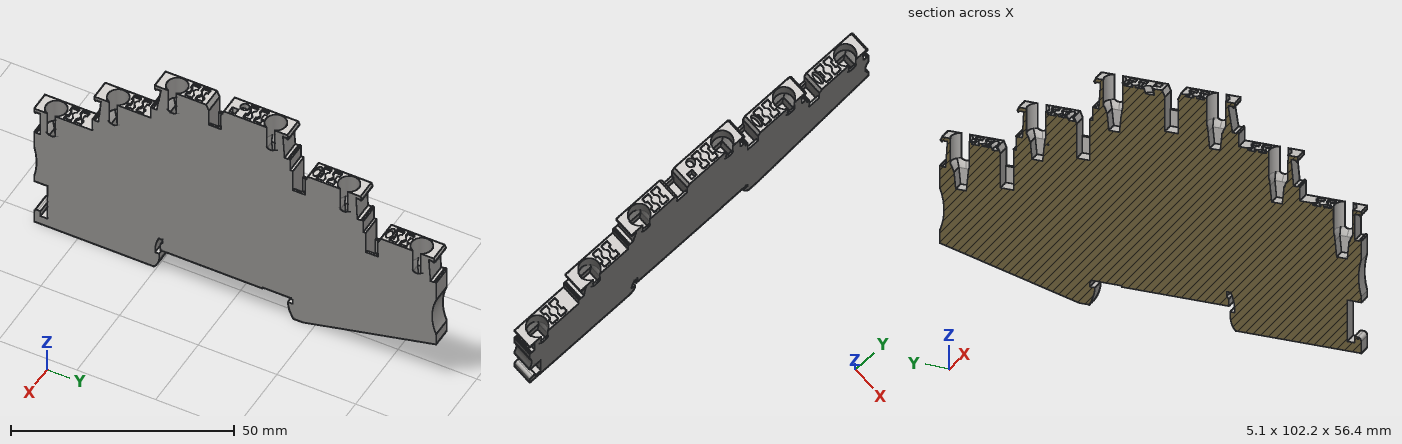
import cadquery as cq

length = 102.2
height = 56.4
thickness = 5.1
half_length = length / 2
half_thickness = thickness / 2

low_deck = 35.2
mid_deck = 45.9
top_deck = height

lip_height = 1.0
lip_lean = 0.4
bead = 0.3
groove_depth = 7.4

slot_width = 3.1
slot_depth = 5.9
slot_lead_width = 0.7
slot_lead_depth = 1.5
low_slot_start = 33.2
mid_slot_start = 14.7
top_slot_start = -6.6
slot_starts = [(low_slot_start, low_deck), (mid_slot_start, mid_deck), (top_slot_start, top_deck)]

bridge_pocket_width = 4.0
bridge_pocket_depth = 4.1

entries = [
    (46.2, low_deck),
    (27.7, mid_deck),
    (9.1, top_deck),
    (-15.9, top_deck),
    (-31.0, mid_deck),
    (-46.7, low_deck),
]
bore_x = 0.2
bore_radius = 2.6
bore_depth = 6.1
funnel_depth = 2.0
socket_width = 3.2
socket_length = 3.3
socket_floor_length = 2.5
socket_depth = 4.1
socket_shift = 0.3

actuator_offset = 5.1
actuator_width = 4.0
actuator_length = 4.4
actuator_depth = 0.5
actuator_bar = 0.8
actuator_boss_radius = 0.97
end_tab_width = 1.6
end_tab_length = 0.5

test_hole_gap = 1.8
test_hole_x_radius = 1.6
test_hole_y_radius = 0.77
test_hole_depth = 1.0
hole_lean = 0.5

lamp_hole_x = -0.9
lamp_hole_y = 0.6
lamp_hole_radius = 1.0
lamp_hole_depth = 1.5

key_hole_x = 1.2
key_hole_y = -1.0
key_hole_size = 1.5
key_hole_floor_size = 0.9
key_hole_depth = 2.0

notch_end = -47.7
notch_floor = 4.0
notch_top = 12.6
notch_nose_radius = 0.9
trough_length = 1.7
trough_depth = 1.5
trough_wall = 0.5

grip_depth_near = 0.6
grip_bottom_near = 14.2
grip_top_near = 23.2
grip_depth_far = 1.0
grip_bottom_far = 11.9
grip_top_far = 22.4

rail_top = 5.8
raised_rail_top = 6.1
raised_rail_start = 7.0
hook_z = 4.6
foot_tip = -19.3
foot_base = -20.6
slit_outer = -20.3
slit_inner = -19.0
slit_top = 9.3
hook_tip = 13.4
hook_root = 14.6
hook_corner = 0.4
hook_base = 14.8
slope_start = 17.3
slope_end_z = 8.7


def label_groove(side, deck, lip_tip, neck_top, neck_bottom, ledge):
    """Points from the deck edge down to the ledge; side is +1 facing +Y and -1 facing -Y.

    Only the lips facing +Y lean back towards the deck; the others are upright.
    """
    lean = lip_lean if side > 0 else 0
    lip_bottom = deck - lip_height
    ledge_top = deck - groove_depth
    return [
        (lip_tip - lean, deck),
        (lip_tip, lip_bottom + bead / 2),
        (lip_tip - side * bead, lip_bottom - bead),
        (lip_tip - side * 2 * bead, lip_bottom),
        (neck_top, lip_bottom),
        (neck_bottom, ledge_top),
        (ledge - side * 2 * bead, ledge_top),
        (ledge - side * bead, ledge_top + bead),
        (ledge, ledge_top),
    ]


def slot_edge(start, deck):
    """Points from the lead-in bevel on the +Y side of a slot, down and across its floor."""
    wall = start + slot_width
    return [
        (wall + slot_lead_width, deck),
        (wall, deck - slot_lead_depth),
        (wall, deck - slot_depth),
        (start, deck - slot_depth),
    ]


def stepped_edge():
    """Upper edge of the plate, from the ledge at +Y over the decks to the ledge at -Y."""
    points = label_groove(1, low_deck, 50.9, 49.3, 49.7, half_length)[::-1]
    points += slot_edge(low_slot_start, low_deck)
    points += [(low_slot_start, low_deck)]

    mid_ledge = 32.6
    points += [(mid_ledge, low_deck)]
    points += label_groove(1, mid_deck, 32.3, 30.8, 31.1, mid_ledge)[::-1]
    points += slot_edge(mid_slot_start, mid_deck)
    points += [(mid_slot_start, mid_deck)]

    top_ledge = 14.0
    points += [(top_ledge, mid_deck)]
    points += label_groove(1, top_deck, 13.7, 12.2, 12.6, top_ledge)[::-1]
    points += slot_edge(top_slot_start, top_deck)
    points += [
        (top_slot_start, top_deck - slot_lead_depth),
        (top_slot_start - slot_lead_width, top_deck),
    ]

    near_top_ledge = -21.5
    points += label_groove(-1, top_deck, -20.4, -18.9, -19.9, near_top_ledge)
    points += [(near_top_ledge, mid_deck)]
    near_mid_ledge = -36.3
    points += label_groove(-1, mid_deck, -35.8, -34.1, -34.7, near_mid_ledge)
    points += [(near_mid_ledge, low_deck)]
    points += label_groove(-1, low_deck, -half_length, -49.6, -49.6, -half_length)
    return points


def plate():
    """Side outline extruded through the thickness."""
    grip_mid_near = (grip_top_near + grip_bottom_near) / 2
    grip_mid_far = (grip_top_far + grip_bottom_far) / 2
    outline = (
        cq.Workplane("YZ", origin=(-half_thickness, 0, 0))
        .polyline(stepped_edge())
        .lineTo(-half_length, grip_top_near)
        .threePointArc((-half_length + grip_depth_near, grip_mid_near), (-half_length, grip_bottom_near))
        .lineTo(-half_length, notch_top)
        .lineTo(notch_end, notch_top)
        .lineTo(notch_end, notch_floor)
        .lineTo(-half_length + notch_nose_radius, notch_floor)
        .tangentArcPoint((-half_length, notch_floor - notch_nose_radius), relative=False)
        .lineTo(-half_length, 0)
        .lineTo(foot_base, 0)
        .threePointArc((-19.7, 1.3), (foot_tip, 3.0))
        .lineTo(foot_tip, hook_z)
        .lineTo(slit_outer, hook_z)
        .threePointArc((-20.2, 6.6), (-19.4, slit_top))
        .lineTo(-18.5, slit_top)
        .lineTo(-18.5, 8.3)
        .lineTo(slit_inner, 7.7)
        .lineTo(slit_inner, rail_top)
        .lineTo(raised_rail_start, rail_top)
        .lineTo(raised_rail_start, raised_rail_top)
        .lineTo(hook_root - hook_corner, raised_rail_top)
        .lineTo(hook_root, raised_rail_top - hook_corner)
        .lineTo(hook_root, hook_z)
        .lineTo(hook_tip, hook_z)
        .threePointArc((13.8, 2.2), (hook_base, 0))
        .lineTo(slope_start, 0)
        .lineTo(half_length, slope_end_z)
        .lineTo(half_length, grip_bottom_far)
        .threePointArc((half_length - grip_depth_far, grip_mid_far), (half_length, grip_top_far))
        .close()
    )
    return outline.extrude(thickness)


def deck_plane(x, y, z):
    return cq.Workplane("XY", origin=(x, y, z))


def box_down(x, y, z, width, depth_y, depth):
    """Box hanging down from height z."""
    return deck_plane(x, y, z).rect(width, depth_y).extrude(-depth)


def conductor_entry(y, deck, inward):
    """Round bore closing through a funnel to a tapered socket set towards the middle.

    The bore is off-centre, so it also opens a narrow window in the +X face.
    """
    bore = deck_plane(bore_x, y, deck).circle(bore_radius).extrude(-bore_depth)
    funnel_top = deck - bore_depth
    funnel = (
        deck_plane(bore_x, y, funnel_top)
        .circle(bore_radius)
        .workplane(offset=-funnel_depth)
        .center(0, inward * socket_shift)
        .rect(socket_width, socket_length)
        .loft()
    )
    socket = (
        deck_plane(bore_x, y + inward * socket_shift, funnel_top - funnel_depth)
        .rect(socket_width, socket_length)
        .workplane(offset=-socket_depth)
        .rect(socket_width, socket_floor_length)
        .loft()
    )
    return bore.union(funnel).union(socket)


def actuator_recess(y, deck):
    """Shallow rectangle that leaves a cross bar, a round boss and two end tabs standing."""
    recess = box_down(0, y, deck, actuator_width, actuator_length, actuator_depth)
    recess = recess.cut(box_down(0, y, deck, actuator_width, actuator_bar, actuator_depth))
    boss = deck_plane(0, y, deck).circle(actuator_boss_radius).extrude(-actuator_depth)
    recess = recess.cut(boss)
    for end in (1, -1):
        tab_y = y + end * (actuator_length - end_tab_length) / 2
        recess = recess.cut(box_down(0, tab_y, deck, end_tab_width, end_tab_length, actuator_depth))
    return recess


def leaning_hole(x, y, deck, x_radius, y_radius, depth):
    """Blind hole whose floor is shifted towards -Y."""
    return (
        deck_plane(x, y, deck)
        .ellipse(x_radius, y_radius)
        .workplane(offset=-depth)
        .center(0, -hole_lean)
        .ellipse(x_radius, y_radius)
        .loft()
    )


def key_hole():
    return (
        deck_plane(key_hole_x, key_hole_y, top_deck)
        .rect(key_hole_size, key_hole_size)
        .workplane(offset=-key_hole_depth)
        .rect(key_hole_floor_size, key_hole_floor_size)
        .loft()
    )


def notch_trough():
    """Trough in the notch floor, closed by a thin wall on -X and open on +X."""
    width = thickness - trough_wall
    x = trough_wall / 2
    y = notch_end - trough_length / 2
    return box_down(x, y, notch_floor, width, trough_length, trough_depth)


result = plate()

for entry_y, deck in entries:
    inward = -1 if entry_y > 0 else 1
    result = result.cut(conductor_entry(entry_y, deck, inward))
    result = result.cut(actuator_recess(entry_y + inward * actuator_offset, deck))

for start, deck in slot_starts:
    middle = start + slot_width / 2
    floor = deck - slot_depth
    result = result.cut(
        box_down(0, middle, floor, bridge_pocket_width, slot_width, bridge_pocket_depth)
    )

for start, deck in slot_starts[:2]:
    test_hole_y = start + slot_width + test_hole_gap
    result = result.cut(
        leaning_hole(0, test_hole_y, deck, test_hole_x_radius, test_hole_y_radius, test_hole_depth)
    )

result = result.cut(
    leaning_hole(
        lamp_hole_x, lamp_hole_y, top_deck, lamp_hole_radius, lamp_hole_radius, lamp_hole_depth
    )
)
result = result.cut(key_hole())
result = result.cut(notch_trough())